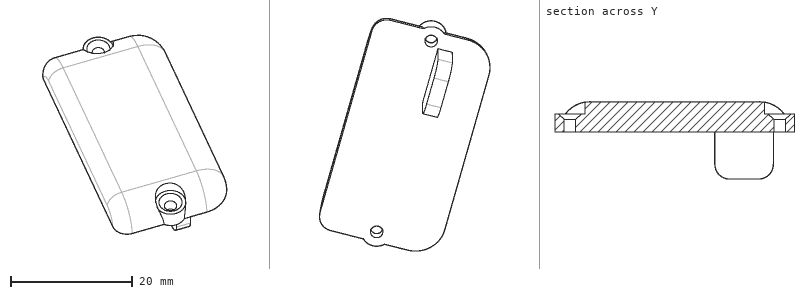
import cadquery as cq

cover_length = 38.0
cover_depth = 20.6
cover_height = 5.0
front_radius = cover_height / 2
back_radius = cover_height
end_radius = cover_height
end_axis_x = cover_length / 2 - end_radius

overall_length = 39.5
boss_diameter = 5.0
boss_height = 3.0
boss_x = (overall_length - boss_diameter) / 2
boss_y = -0.45
hole_diameter = 2.0
countersink_diameter = 3.8
countersink_angle = 90

tab_width = 9.68
tab_thickness = 2.45
tab_height = 7.75
tab_corner_radius = 2.5
tab_center_x = 11.4
tab_center_y = 2.2


def cross_section(x):
    """Cover section in a YZ plane, with a small front round and a full-height back round."""
    front_y = -cover_depth / 2
    back_y = cover_depth / 2
    return (
        cq.Workplane("YZ", origin=(x, 0, 0))
        .moveTo(front_y, 0)
        .lineTo(front_y, cover_height - front_radius)
        .radiusArc((front_y + front_radius, cover_height), front_radius)
        .lineTo(back_y - back_radius, cover_height)
        .radiusArc((back_y, cover_height - back_radius), back_radius)
        .close()
    )


def make_cover():
    """Extrude the section between the end axes and swing it a quarter turn down at each end."""
    cover = cross_section(-end_axis_x).extrude(2 * end_axis_x)
    for side in (-1, 1):
        end = cross_section(side * end_axis_x).revolve(90, (0, 0), (side, 0))
        cover = cover.union(end)
    return cover


def cylinder_at(x, bottom_z, height):
    return (
        cq.Workplane("XY", origin=(x, boss_y, bottom_z))
        .circle(boss_diameter / 2)
        .extrude(height)
    )


def add_screw_boss(body, x):
    """Add a boss, clear the dome above it and drill a countersunk through hole."""
    boss = cylinder_at(x, 0, boss_height)
    clearance = cylinder_at(x, boss_height, cover_height - boss_height)
    return (
        body.union(boss)
        .cut(clearance)
        .copyWorkplane(cq.Workplane("XY", origin=(x, boss_y, boss_height)))
        .cskHole(hole_diameter, countersink_diameter, countersink_angle, depth=boss_height)
    )


def make_tab():
    """Flat tab hanging from the underside, with its two lower corners rounded."""
    return (
        cq.Workplane("XY", origin=(tab_center_x, tab_center_y, -tab_height))
        .box(tab_width, tab_thickness, tab_height, centered=(True, True, False))
        .edges("|Y and <Z")
        .fillet(tab_corner_radius)
    )


result = make_cover()
for side in (-1, 1):
    result = add_screw_boss(result, side * boss_x)
result = result.union(make_tab())